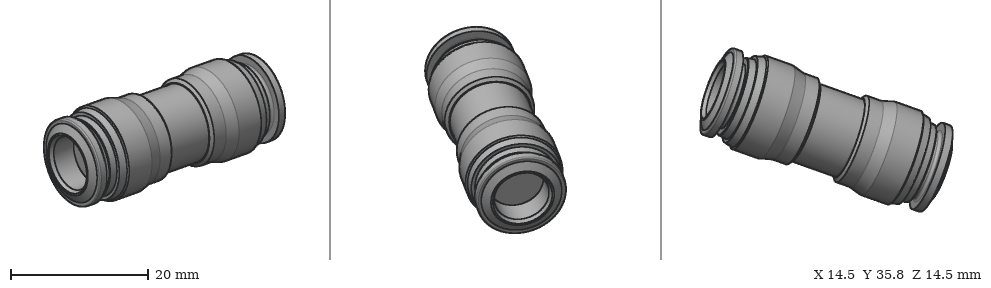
import cadquery as cq
import math

length = 35.8
half_length = length / 2
body_radius = 7.25

flange_radius = 6.7
shaft_radius = 6.0

end_face_radius = 4.73
flange_face_depth = 0.68
flange_fillet = 0.2
flange_back_depth = 1.97
neck_radius = 5.0
neck_fillet = 0.5

inner_ring_depth = 3.0
inner_ring_chamfer = 0.1
inner_ring_base_radius = 6.15
outer_ring_depth = 4.25
outer_ring_base_radius = 6.98
body_chamfer_depth = 5.48
body_start_depth = 5.65

body_end_depth = 9.85
taper_end_depth = 11.78
shoulder_chamfer_depth = 13.95
shoulder_end_depth = 14.4
shoulder_end_radius = 6.15

socket_radius = 4.08
socket_mouth_radius = 4.45
countersink_depth = 0.6
socket_depth = 4.3

diagonal = math.sqrt(0.5)


def at(radius, depth):
    """Point of the half profile at a radius and a depth from the end face."""
    return (radius, depth - half_length)


def corner_middle(center_radius, center_depth, fillet, radial_sign):
    """Midpoint of a quarter arc that lies on the end-face side of its centre."""
    return at(center_radius + radial_sign * fillet * diagonal, center_depth - fillet * diagonal)


def neck_fillet_middle():
    """Midpoint of the concave arc between the neck and the back of the flange."""
    center_radius = neck_radius + neck_fillet
    center_depth = flange_back_depth + neck_fillet
    return corner_middle(center_radius, center_depth, neck_fillet, -1)


def flange_fillet_middle():
    """Midpoint of the convex arc on the outer edge of the flange."""
    center_radius = flange_radius - flange_fillet
    center_depth = flange_face_depth + flange_fillet
    return corner_middle(center_radius, center_depth, flange_fillet, 1)


half_profile = (
    cq.Workplane("XY")
    .moveTo(*at(0, socket_depth))
    .lineTo(*at(socket_radius, socket_depth))
    .lineTo(*at(socket_radius, countersink_depth))
    .lineTo(*at(socket_mouth_radius, 0))
    .lineTo(*at(end_face_radius, 0))
    .lineTo(*at(shaft_radius, flange_face_depth))
    .lineTo(*at(flange_radius - flange_fillet, flange_face_depth))
    .threePointArc(flange_fillet_middle(), at(flange_radius, flange_face_depth + flange_fillet))
    .lineTo(*at(flange_radius, flange_back_depth))
    .lineTo(*at(neck_radius + neck_fillet, flange_back_depth))
    .threePointArc(neck_fillet_middle(), at(neck_radius, flange_back_depth + neck_fillet))
    .lineTo(*at(neck_radius, inner_ring_depth))
    .lineTo(*at(shaft_radius - inner_ring_chamfer, inner_ring_depth))
    .lineTo(*at(shaft_radius, inner_ring_depth + inner_ring_chamfer))
    .lineTo(*at(inner_ring_base_radius, outer_ring_depth))
    .lineTo(*at(flange_radius, outer_ring_depth))
    .lineTo(*at(outer_ring_base_radius, body_chamfer_depth))
    .lineTo(*at(body_radius, body_start_depth))
    .lineTo(*at(body_radius, body_end_depth))
    .lineTo(*at(flange_radius, taper_end_depth))
    .lineTo(*at(flange_radius, shoulder_chamfer_depth))
    .lineTo(*at(shoulder_end_radius, shoulder_end_depth))
    .lineTo(*at(shaft_radius, shoulder_end_depth))
    .lineTo(*at(shaft_radius, half_length))
    .lineTo(*at(0, half_length))
    .close()
)

front_half = half_profile.revolve(360, (0, 0, 0), (0, 1, 0))
result = front_half.union(front_half.mirror("XZ"))